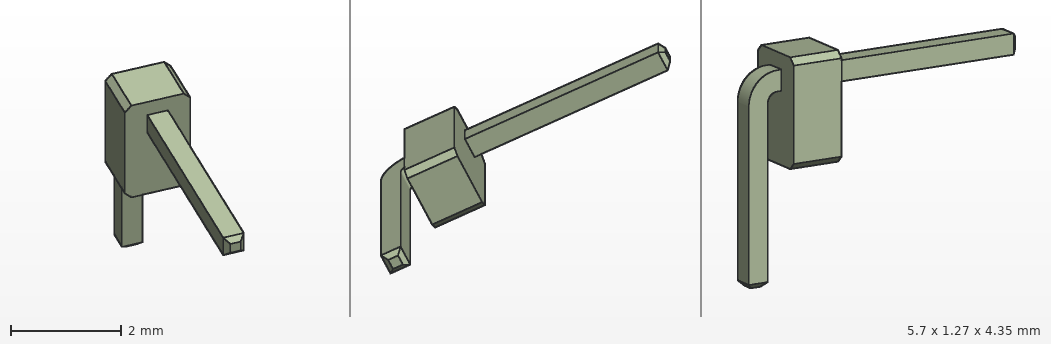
import cadquery as cq

pin_width = 0.4
pin_length_x = 5.7
inner_bend_radius = 0.2
outer_bend_radius = inner_bend_radius + pin_width
tip_chamfer = 0.1

block_length = 1.01
block_width = 1.27
block_height = 2.1
block_chamfer = 0.127
block_offset = 0.69
block_rise = 0.3

overall_height = 4.35
pin_length_z = overall_height - block_rise

pin_left = -pin_width / 2
pin_right = pin_left + pin_length_x
pin_top = pin_width / 2
pin_bottom = pin_top - pin_length_z
block_center_x = pin_left + block_offset + block_length / 2
block_center_z = pin_top + block_rise - block_height / 2


def make_pin():
    """Bent square pin with both tips chamfered on all four edges."""
    bend_center_x = pin_left + outer_bend_radius
    bend_center_z = pin_top - outer_bend_radius
    pin = (
        cq.Workplane("XZ")
        .moveTo(pin_left, pin_bottom)
        .lineTo(pin_left, bend_center_z)
        .radiusArc((bend_center_x, pin_top), outer_bend_radius)
        .lineTo(pin_right, pin_top)
        .lineTo(pin_right, pin_top - pin_width)
        .lineTo(bend_center_x, pin_top - pin_width)
        .radiusArc((pin_left + pin_width, bend_center_z), -inner_bend_radius)
        .lineTo(pin_left + pin_width, pin_bottom)
        .close()
        .extrude(pin_width / 2, both=True)
    )
    for tip_face in (">X", "<Z"):
        pin = pin.faces(tip_face).edges().chamfer(tip_chamfer)
    return pin


def make_block():
    """Insulator block with its four long edges chamfered."""
    return (
        cq.Workplane("XY")
        .box(block_length, block_width, block_height)
        .edges("|X")
        .chamfer(block_chamfer)
        .translate((block_center_x, 0, block_center_z))
    )


result = make_block().union(make_pin())